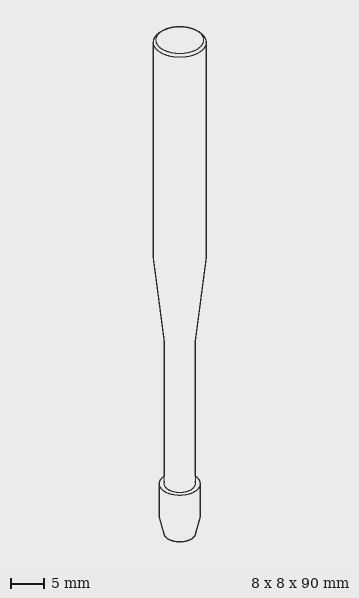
import cadquery as cq

total_length = 90.0
shank_length = 39.8
shank_bottom = total_length - shank_length
neck_top = 35.0
head_length = 9.0
taper_length = 3.0

shank_radius = 8.0 / 2
neck_radius = 4.7 / 2
head_radius = 6.2 / 2
tip_radius = 4.8 / 2

top_chamfer = 0.4


def make_holder():
    """Cylindrical shank that narrows through a cone to a slender neck."""
    profile = [
        (0, head_length),
        (neck_radius, head_length),
        (neck_radius, neck_top),
        (shank_radius, shank_bottom),
        (shank_radius, total_length - top_chamfer),
        (shank_radius - top_chamfer, total_length),
        (0, total_length),
    ]
    return revolve_about_z(profile)


def make_head():
    """Wider cutting head on the end of the neck, tapered towards its tip."""
    profile = [
        (0, 0),
        (tip_radius, 0),
        (head_radius, taper_length),
        (head_radius, head_length),
        (0, head_length),
    ]
    return revolve_about_z(profile)


def revolve_about_z(profile):
    """Turn a closed (radius, height) profile a full circle about the Z axis."""
    return cq.Workplane("XZ").polyline(profile).close().revolve(360, (0, 0, 0), (0, 1, 0))


holder = make_holder()
head = make_head()

result = cq.Compound.makeCompound([holder.val(), head.val()])